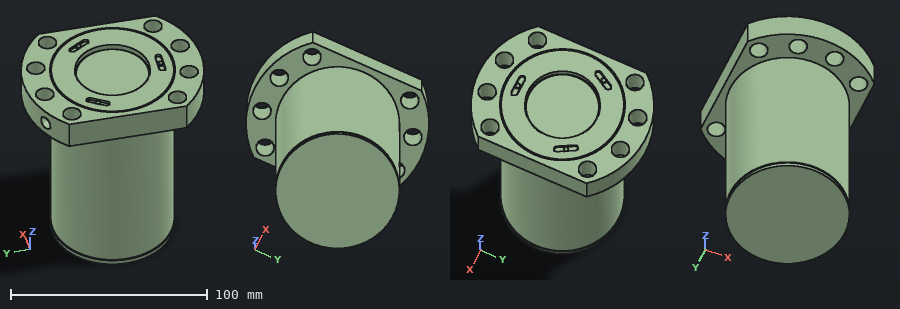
import cadquery as cq
import math

total_height = 105.0
flange_thickness = 15.0
flange_diameter = 93.0
flange_width = 70.0
body_diameter = 63.0

bolt_hole_diameter = 9.0
bolt_circle_radius = 39.0
bolt_angles = (45.0, 75.0, 105.0, 135.0)

oil_hole_diameter = 6.9
oil_hole_angle = 120.0

bore_diameter = 38.2
bore_depth = 2.6
core_diameter = 38.0
core_chamfer = 0.5

joint_half_width = 0.37
joint_depth = 0.2

seam_height = 2.6
seam_width = 0.4
seam_depth = 0.2

slot_count = 3
slot_first_angle = 30.0
slot_radius = 25.0
slot_length = 12.3
slot_width = 3.2
slot_depth = 1.5
pin_position_radius = 25.2
pin_diameter = 2.5
pin_height = 1.2
tip_diameter = 1.7
tip_height = 0.1


def revolve_about_z(points):
    """Solid of revolution about the Z axis from (radius, height) points."""
    return cq.Workplane("XZ").polyline(points).close().revolve(360, (0, 0), (0, 1))


def make_flange():
    """Round flange with two flats parallel to the YZ plane."""
    flange_base = cq.Workplane("XY", origin=(0, 0, total_height - flange_thickness))
    disc = flange_base.circle(flange_diameter / 2).extrude(flange_thickness)
    flats = flange_base.rect(flange_width, flange_diameter).extrude(flange_thickness)
    return disc.intersect(flats)


def make_bolt_holes():
    points = []
    for angle in bolt_angles:
        x = bolt_circle_radius * math.cos(math.radians(angle))
        y = bolt_circle_radius * math.sin(math.radians(angle))
        points += [(x, y), (x, -y)]
    return (
        cq.Workplane("XY", origin=(0, 0, total_height - flange_thickness))
        .pushPoints(points)
        .circle(bolt_hole_diameter / 2)
        .extrude(flange_thickness)
    )


def make_oil_hole():
    """Radial hole from the flange rim in to the body radius."""
    return (
        cq.Workplane("YZ", origin=(body_diameter / 2, 0, total_height - flange_thickness / 2))
        .circle(oil_hole_diameter / 2)
        .extrude((flange_diameter - body_diameter) / 2)
        .rotate((0, 0, 0), (0, 0, 1), oil_hole_angle)
    )


def make_slot(angle):
    """Tangential slot with a pin standing on its floor."""
    floor_height = total_height - slot_depth
    slot = (
        cq.Workplane("XY", origin=(slot_radius, 0, floor_height))
        .slot2D(slot_length, slot_width, 90)
        .extrude(slot_depth)
    )
    pin_top = floor_height + pin_height
    pin = revolve_about_z([
        (0, floor_height),
        (pin_diameter / 2, floor_height),
        (pin_diameter / 2, pin_top),
        (tip_diameter / 2, pin_top),
        (0, pin_top + tip_height),
    ])
    slot = slot.cut(pin.translate((pin_position_radius, 0, 0)))
    return slot.rotate((0, 0, 0), (0, 0, 1), angle)


def make_bore():
    """Bore reaching down round the chamfered rim of the core."""
    core_top = total_height - bore_depth
    rim_bottom = core_top - core_chamfer
    return revolve_about_z([
        (0, total_height),
        (bore_diameter / 2, total_height),
        (bore_diameter / 2, rim_bottom),
        (core_diameter / 2, rim_bottom),
        (core_diameter / 2 - core_chamfer, core_top),
        (0, core_top),
    ])


def make_joint_groove():
    """Shallow V-groove centred on the body surface."""
    body_radius = body_diameter / 2
    return revolve_about_z([
        (body_radius - joint_half_width, total_height),
        (body_radius + joint_half_width, total_height),
        (body_radius, total_height - joint_depth),
    ])


def make_seam_groove():
    """Shallow square groove round the body."""
    seam_floor_radius = body_diameter / 2 - seam_depth
    return revolve_about_z([
        (seam_floor_radius, seam_height),
        (body_diameter / 2, seam_height),
        (body_diameter / 2, seam_height + seam_width),
        (seam_floor_radius, seam_height + seam_width),
    ])


body = cq.Workplane("XY").circle(body_diameter / 2).extrude(total_height)
result = body.union(make_flange())
result = result.cut(make_bolt_holes())
result = result.cut(make_oil_hole())
result = result.cut(make_bore())
result = result.cut(make_joint_groove())
result = result.cut(make_seam_groove())

for index in range(slot_count):
    result = result.cut(make_slot(slot_first_angle + index * 360.0 / slot_count))